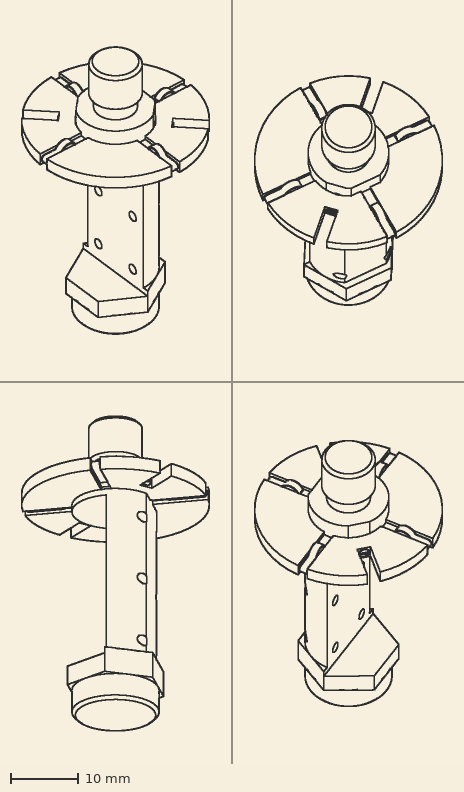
import cadquery as cq
import math

total_height = 47.0
body_dia = 13.0
body_radius = body_dia / 2
base_height = 4.0
hex_front_top = 7.0
hex_back_top = 8.0
rim_bottom = 33.0
disk_bottom = 34.0
collar_top = 38.5
end_chamfer = 0.5

collar_radius = 6.0
back_flat_offset = 5.5
screw_flat_offset = 5.8

neck_dia = 6.6
stud_dia = 8.0
stud_bottom = 41.05
neck_cone_height = 0.4

plate_hole_dia = 1.6
plate_hole_spacing_x = 8.0
plate_hole_pitch_z = 10.0
plate_hole_rows = 3

disk_dia = 28.0
disk_radius = disk_dia / 2
disk_thickness = 2.0
disk_top = disk_bottom + disk_thickness
disk_middle = disk_bottom + disk_thickness / 2
slot_width = 2.0
slot_end_radius = 8.5
groove_width = 1.55
groove_depth = 0.55
tongue_half_thickness = disk_thickness / 2 - groove_depth

clip_width = 1.25
clip_thickness = 0.165
clip_tip_radius = 13.85
arch_center = 9.65
arch_rise = 0.6
arch_radius = 1.65
arch_blend_radius = 0.38
curl_radius = tongue_half_thickness + clip_thickness
curl_center = clip_tip_radius - curl_radius

screw_dia = 1.6
screw_projection = 0.15
driver_slot_width = 0.35
driver_slot_depth = 0.75

clip_angles = [0, 90, 180, 270]
screw_angles = [45, 225]


def cylinder(radius, bottom, top):
    return cq.Workplane("XY").workplane(offset=bottom).circle(radius).extrude(top - bottom)


def block(x_min, x_max, y_min, y_max, z_min, z_max):
    size = (x_max - x_min, y_max - y_min, z_max - z_min)
    return cq.Workplane("XY").box(*size, centered=False).translate((x_min, y_min, z_min))


def turned_about_axis(shape, angle):
    return shape.rotate((0, 0, 0), (0, 0, 1), angle)


def make_hexagon():
    corner_dia = body_dia / math.cos(math.pi / 6)
    height = hex_back_top - base_height
    hexagon = cq.Workplane("XY").workplane(offset=base_height).polygon(6, corner_dia).extrude(height)
    front_half = block(-body_dia, body_dia, -body_dia, 0, hex_front_top, hex_back_top)
    return hexagon.cut(front_half)


def make_half_shank():
    """Upright from the hexagon to the disk: a full rim on a half-round shank with a flat back."""
    shank = cylinder(body_radius, hex_front_top, disk_bottom)
    front_half = block(-body_dia, body_dia, -body_dia, 0, hex_front_top, rim_bottom)
    return shank.cut(front_half)


def make_collar():
    collar = cylinder(collar_radius, disk_bottom, collar_top)
    for angle in screw_angles:
        beyond_flat = block(screw_flat_offset, body_dia, -body_dia, body_dia, disk_bottom, collar_top)
        collar = collar.cut(turned_about_axis(beyond_flat, angle))
    return collar


def make_stud():
    neck_radius = neck_dia / 2
    stud_radius = stud_dia / 2
    half_section = [
        (0, collar_top),
        (neck_radius, collar_top),
        (neck_radius, stud_bottom - neck_cone_height),
        (stud_radius, stud_bottom),
        (stud_radius, total_height - end_chamfer),
        (stud_radius - end_chamfer, total_height),
        (0, total_height),
    ]
    return cq.Workplane("XZ").polyline(half_section).close().revolve(360, (0, 0), (0, 1))


def make_plate_holes():
    centers = [
        (side * plate_hole_spacing_x / 2, row * plate_hole_pitch_z)
        for side in (-1, 1)
        for row in range(1, plate_hole_rows + 1)
    ]
    return (
        cq.Workplane("XZ").pushPoints(centers).circle(plate_hole_dia / 2).extrude(body_dia, both=True)
    )


def make_spindle():
    base = cylinder(body_radius, 0, base_height).faces("<Z").chamfer(end_chamfer)
    beyond_back_flat = block(-body_dia, body_dia, back_flat_offset, body_dia, hex_back_top, collar_top)
    upright = make_half_shank().union(make_collar()).cut(beyond_back_flat).cut(make_plate_holes())
    return base.union(make_hexagon()).union(upright).union(make_stud())


def make_tongue():
    """Thin bar left in the middle of a groove, with a rounded outer end for the clip to wrap."""
    half = tongue_half_thickness
    return (
        cq.Workplane("XZ")
        .moveTo(0, disk_middle - half)
        .lineTo(curl_center, disk_middle - half)
        .threePointArc((curl_center + half, disk_middle), (curl_center, disk_middle + half))
        .lineTo(0, disk_middle + half)
        .close()
        .extrude(groove_width / 2, both=True)
    )


def make_disk():
    disk = cylinder(disk_radius, disk_bottom, disk_top)
    groove = block(0, disk_radius, -groove_width / 2, groove_width / 2, disk_bottom, disk_top)
    for angle in clip_angles:
        disk = disk.cut(turned_about_axis(groove.cut(make_tongue()), angle))

    slot = block(slot_end_radius, disk_radius, -slot_width / 2, slot_width / 2, disk_bottom, disk_top)
    screw_hole = (
        cq.Workplane("YZ").center(0, disk_middle).circle(screw_dia / 2).extrude(slot_end_radius)
    )
    for angle in screw_angles:
        disk = disk.cut(turned_about_axis(slot.union(screw_hole), angle))

    collar_hole = cylinder(collar_radius, disk_bottom, disk_top)
    beyond_back_flat = block(-body_dia, body_dia, back_flat_offset, body_dia, disk_bottom, disk_top)
    return disk.cut(collar_hole.cut(beyond_back_flat))


def point_on_circle(center, radius, angle):
    return (center[0] + radius * math.cos(angle), center[1] + radius * math.sin(angle))


def make_clip():
    """Strip bent around the tongue end, with its upper leaf rising into an arch."""
    tongue_top = disk_middle + tongue_half_thickness
    tongue_bottom = disk_middle - tongue_half_thickness
    leaf_top = tongue_top + clip_thickness
    leaf_bottom = tongue_bottom - clip_thickness

    arch = (arch_center, disk_top + arch_rise - arch_radius)
    inner_arch_radius = arch_radius - clip_thickness
    under_blend_radius = arch_blend_radius + clip_thickness
    blend_height = leaf_top + arch_blend_radius
    blend_angle = math.asin((blend_height - arch[1]) / (arch_radius + arch_blend_radius))
    blend = point_on_circle(arch, arch_radius + arch_blend_radius, blend_angle)
    blend = (blend[0], blend_height)
    blend_mid_angle = (blend_angle + math.pi + 1.5 * math.pi) / 2

    foot_height = tongue_top - arch[1]
    outer_foot = arch[0] - math.sqrt(arch_radius**2 - foot_height**2)
    inner_foot = arch[0] - math.sqrt(inner_arch_radius**2 - foot_height**2)

    return (
        cq.Workplane("XZ")
        .moveTo(outer_foot, tongue_top)
        .threePointArc(
            point_on_circle(arch, arch_radius, math.pi / 2),
            point_on_circle(arch, arch_radius, blend_angle),
        )
        .threePointArc(
            point_on_circle(blend, arch_blend_radius, blend_mid_angle),
            (blend[0], leaf_top),
        )
        .lineTo(curl_center, leaf_top)
        .threePointArc((clip_tip_radius, disk_middle), (curl_center, leaf_bottom))
        .lineTo(outer_foot, leaf_bottom)
        .lineTo(outer_foot, tongue_bottom)
        .lineTo(curl_center, tongue_bottom)
        .threePointArc((clip_tip_radius - clip_thickness, disk_middle), (curl_center, tongue_top))
        .lineTo(blend[0], tongue_top)
        .threePointArc(
            point_on_circle(blend, under_blend_radius, blend_mid_angle),
            point_on_circle(arch, inner_arch_radius, blend_angle),
        )
        .threePointArc(
            point_on_circle(arch, inner_arch_radius, math.pi / 2),
            (inner_foot, tongue_top),
        )
        .close()
        .extrude(clip_width / 2, both=True)
    )


def make_set_screw():
    """Slotted screw lying along +X, from the flat on the collar to just inside the disk slot."""
    slotted_end = slot_end_radius + screw_projection
    screw = (
        cq.Workplane("YZ")
        .workplane(offset=screw_flat_offset)
        .center(0, disk_middle)
        .circle(screw_dia / 2)
        .extrude(slotted_end - screw_flat_offset)
    )
    driver_slot = block(
        slotted_end - driver_slot_depth,
        slotted_end,
        -screw_dia / 2,
        screw_dia / 2,
        disk_middle - driver_slot_width / 2,
        disk_middle + driver_slot_width / 2,
    )
    return screw.cut(driver_slot)


spindle = make_spindle()
disk = make_disk()
clips = [turned_about_axis(make_clip(), angle) for angle in clip_angles]
set_screws = [turned_about_axis(make_set_screw(), angle) for angle in screw_angles]

result = cq.Compound.makeCompound([
    spindle.val(),
    disk.val(),
    *[clip.val() for clip in clips],
    *[screw.val() for screw in set_screws],
])